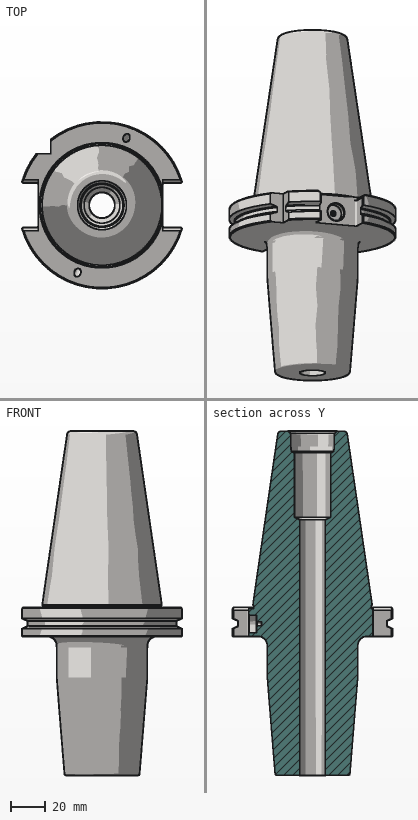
import cadquery as cq
import math

total_height = 201.5
gauge_z = 99.8
flange_top_z = 98.5
flange_bottom_z = 81.2
nose_cone_z = 57.5

gauge_radius = 35.0
taper_slope = 7 / 48
shank_top_radius = gauge_radius - (total_height - gauge_z) * taper_slope
shank_round = 2.5

flange_radius = 48.8
rim_chamfer = 0.6
gripper_z = 89.0
gripper_floor_radius = 45.5
gripper_floor_width = 3.2
gripper_mouth_width = 6.0
gripper_fillet = 0.6

undercut_radius = 36.7
undercut_floor_radius = 36.0
undercut_depth = 0.8
undercut_neck_radius = 34.5
undercut_neck_z = 99.2

neck_radius = 26.6
neck_fillet = 5.2
neck_band_height = 1.0
band_step = 0.1
nose_radius = 22.0
nose_round = 1.2

bore_mouth_radius = 14.3
bore_lip_radius = 13.0
bore_lip_depth = 1.2
pilot_radius = 12.7
pilot_start_depth = 2.0
pilot_depth = 9.0
seat_radius = 12.3
seat_depth = 11.9
thread_radius = 10.5
thread_start_depth = 13.0
thread_depth = 50.5
through_radius = 7.5
thread_end_slope = 0.5
through_start_depth = thread_depth + (thread_radius - through_radius) * thread_end_slope

slot_width = 25.8
slot_floor_minus_x = 37.3
slot_floor_plus_x = 35.5
slot_top_chamfer = 2.0
slot_rim_chamfer = 1.0
slot_floor_fillet = 1.0
slot_overrun = 2.0

notch_x = -30.0
notch_y = 30.2

pocket_radius = 5.0
pocket_chamfer = 0.5
pocket_depth = 4.5
pocket_z = 88.7
centre_hole_radius = 1.0
centre_hole_chamfer = 0.6
centre_hole_depth = 3.0

coolant_hole_radius = 1.92
coolant_circle_radius = 42.0
coolant_angle = 70.0
coolant_tilt = 40.0
coolant_length = 10.0


def is_gripper_floor_edge(edge):
    """True for the two circles that bound the floor of the gripper groove."""
    return math.isclose(edge.radius(), gripper_floor_radius)


def turned_body():
    """Shank, flange and neck as one solid of revolution."""
    floor_half = gripper_floor_width / 2
    mouth_half = gripper_mouth_width / 2
    band_z = flange_bottom_z - neck_fillet
    fillet_mid = neck_fillet * (1 - math.sqrt(0.5))
    undercut_z = flange_top_z - undercut_depth
    profile = (
        cq.Workplane("XZ")
        .moveTo(0, 0)
        .lineTo(nose_radius, 0)
        .lineTo(neck_radius, nose_cone_z)
        .lineTo(neck_radius, band_z - neck_band_height)
        .lineTo(neck_radius + band_step, band_z)
        .threePointArc(
            (neck_radius + fillet_mid, flange_bottom_z - fillet_mid),
            (neck_radius + neck_fillet, flange_bottom_z),
        )
        .lineTo(flange_radius - rim_chamfer, flange_bottom_z)
        .lineTo(flange_radius, flange_bottom_z + rim_chamfer)
        .lineTo(flange_radius, gripper_z - mouth_half)
        .lineTo(gripper_floor_radius, gripper_z - floor_half)
        .lineTo(gripper_floor_radius, gripper_z + floor_half)
        .lineTo(flange_radius, gripper_z + mouth_half)
        .lineTo(flange_radius, flange_top_z - rim_chamfer)
        .lineTo(flange_radius - rim_chamfer, flange_top_z)
        .lineTo(undercut_radius, flange_top_z)
        .lineTo(undercut_floor_radius, undercut_z)
        .lineTo(undercut_neck_radius, undercut_z)
        .lineTo(undercut_neck_radius, undercut_neck_z)
        .lineTo(gauge_radius, gauge_z)
        .lineTo(shank_top_radius, total_height)
        .lineTo(0, total_height)
        .close()
    )
    body = profile.revolve(360, (0, 0, 0), (0, 1, 0))
    groove_corners = body.edges("%CIRCLE").filter(is_gripper_floor_edge)
    body = groove_corners.fillet(gripper_fillet)
    body = body.faces(">Z").edges().fillet(shank_round)
    return body.faces("<Z").edges().fillet(nose_round)


def bore():
    """Stepped bore along the axis, narrowing downwards."""
    steps = [
        (bore_mouth_radius, 0),
        (bore_lip_radius, bore_lip_depth),
        (pilot_radius, pilot_start_depth),
        (pilot_radius, pilot_depth),
        (seat_radius, seat_depth),
        (thread_radius, thread_start_depth),
        (thread_radius, thread_depth),
        (through_radius, through_start_depth),
        (through_radius, total_height),
    ]
    outline = [(0, total_height)]
    outline += [(radius, total_height - depth) for radius, depth in steps]
    outline.append((0, 0))
    return cq.Workplane("XZ").polyline(outline).close().revolve(360, (0, 0, 0), (0, 1, 0))


def drive_slot(side, floor_x):
    """Slot cut from the rim to floor_x; side is +1 for the +X slot, -1 for -X."""
    half = slot_width / 2
    clear = flange_radius + slot_overrun
    rim_x = math.sqrt(flange_radius**2 - half**2)
    chamfer_run = clear - rim_x + slot_rim_chamfer
    height = flange_top_z - flange_bottom_z
    slot = (
        cq.Workplane("XY", origin=(0, 0, flange_bottom_z))
        .polyline([
            (side * floor_x, -half),
            (side * (clear - chamfer_run), -half),
            (side * clear, -half - chamfer_run),
            (side * clear, half + chamfer_run),
            (side * (clear - chamfer_run), half),
            (side * floor_x, half),
        ])
        .close()
        .extrude(height)
    )
    floor_face = "<X" if side > 0 else ">X"
    slot = slot.faces(floor_face).edges("|Z").fillet(slot_floor_fillet)
    top_bevel = (
        cq.Workplane("YZ", origin=(side * floor_x, 0, 0))
        .polyline([
            (-half, flange_top_z - slot_top_chamfer),
            (-half - slot_top_chamfer, flange_top_z),
            (half + slot_top_chamfer, flange_top_z),
            (half, flange_top_z - slot_top_chamfer),
        ])
        .close()
        .extrude(side * (clear - floor_x))
    )
    return slot.union(top_bevel)


def corner_notch():
    """Square notch through the flange at its -X +Y corner."""
    height = flange_top_z - flange_bottom_z
    return (
        cq.Workplane("XY", origin=(notch_x, notch_y, flange_bottom_z))
        .rect(-flange_radius, flange_radius, centered=False)
        .extrude(height)
    )


def chamfered_hole(start_x, radius, depth, chamfer):
    """Round hole along +X from start_x with a 45 degree chamfered mouth."""
    return (
        cq.Workplane("XY", origin=(start_x, 0, pocket_z))
        .polyline([
            (0, 0),
            (0, radius + chamfer),
            (chamfer, radius),
            (depth, radius),
            (depth, 0),
        ])
        .close()
        .revolve(360, (0, 0, 0), (1, 0, 0))
    )


def slot_pocket():
    """Flat round pocket in the -X slot floor, with a small hole at its centre."""
    floor_x = -slot_floor_minus_x
    pocket = chamfered_hole(floor_x, pocket_radius, pocket_depth, pocket_chamfer)
    centre_hole = chamfered_hole(
        floor_x + pocket_depth, centre_hole_radius, centre_hole_depth, centre_hole_chamfer
    )
    return pocket.union(centre_hole)


def coolant_hole(angle):
    """Blind hole that leans towards the axis as it goes down."""
    turn = math.radians(angle)
    tilt = math.radians(coolant_tilt)
    outward = cq.Vector(math.cos(turn), math.sin(turn), 0)
    down = outward * -math.sin(tilt) + cq.Vector(0, 0, -math.cos(tilt))
    mouth = outward * coolant_circle_radius + cq.Vector(0, 0, flange_top_z)
    start = mouth - down * (2 * coolant_hole_radius)
    length = coolant_length + 2 * coolant_hole_radius
    return cq.Workplane(cq.Solid.makeCylinder(coolant_hole_radius, length, start, down))


result = turned_body().cut(bore())
result = result.cut(drive_slot(-1, slot_floor_minus_x))
result = result.cut(drive_slot(1, slot_floor_plus_x))
result = result.cut(corner_notch())
result = result.cut(slot_pocket())
for hole_angle in (coolant_angle, coolant_angle + 180):
    result = result.cut(coolant_hole(hole_angle))